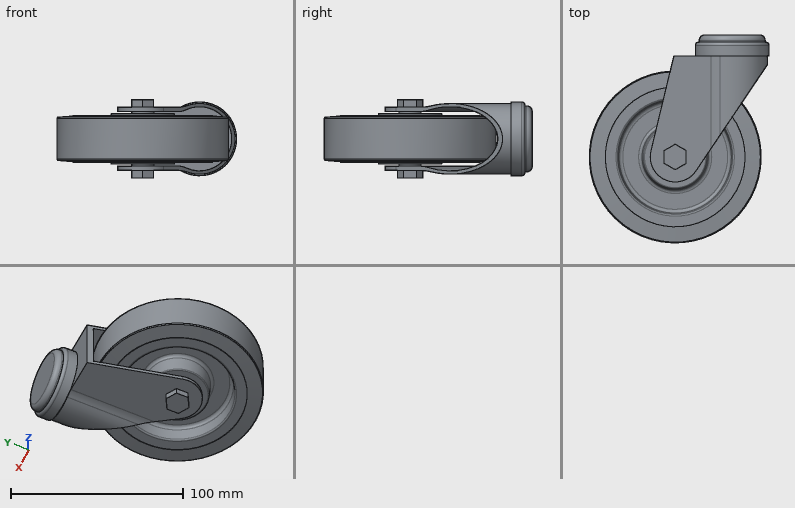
import cadquery as cq
import math


WHEEL_R = 50.0
TREAD_HALF = 11.9
TREAD_EDGE_R = 49.5
TREAD_EDGE_HALF = 12.6
RIM_R = 40.6
TYRE_FACE_HALF = 13.3
RIM_HALF = 13.7
POCKET_TOP_R = 33.5
POCKET_BOTTOM_R = 32.4
WEB_HALF = 2.9
HUB_BASE_R = 19.5
HUB_TOP_R = 18.4
HUB_HALF = 14.8
LIP_FILLET = 1.0
FLOOR_FILLET = 2.2
HUB_BASE_FILLET = 1.9
HUB_TOP_FILLET = 0.6

SPACER_R = 13.0 / 2
HEX_FLATS = 12.8
BOLT_HALF = 45.6 / 2

LEG_OUTER = 18.4
LEG_THICKNESS = 2.5
LEG_INNER = LEG_OUTER - LEG_THICKNESS
LEG_END_R = 14.5
FORK_TOP = 58.7
FORK_TOP_THICKNESS = 3.8
FORK_LEFT = -0.8
FORK_REAR_CORNER_Y = 53.7
SKIRT_OUTER_R = 20.6
SKIRT_INNER_R = 18.6
BLEND_START_X = 20.8

HEAD_R = 43.0 / 2
HEAD_X = 104.5 - WHEEL_R - HEAD_R
HEAD_TOP = 121 - WHEEL_R
HEAD_CAP_R = 19.2
HEAD_CAP_FILLET = 3.4
HEAD_SHOULDER = 66.8
HEAD_SHOULDER_FILLET = 1.9


def rounded_outline(workplane, corners):
    """Close an outline of (u, v, radius) corners; a radius of 0 leaves a corner sharp."""
    first = True
    for i, (u, v, radius) in enumerate(corners):
        corner = cq.Vector(u, v)
        before = (cq.Vector(*corners[i - 1][:2]) - corner).normalized()
        after = (cq.Vector(*corners[(i + 1) % len(corners)][:2]) - corner).normalized()
        half_angle = before.getAngle(after) / 2
        setback = radius / math.tan(half_angle)
        start = corner + before * setback
        workplane = workplane.moveTo(start.x, start.y) if first else workplane.lineTo(start.x, start.y)
        first = False
        if radius > 0:
            bisector = (before + after).normalized()
            middle = corner + bisector * (radius / math.sin(half_angle) - radius)
            end = corner + after * setback
            workplane = workplane.threePointArc((middle.x, middle.y), (end.x, end.y))
    return workplane.close()


def make_wheel():
    upper_half = [
        (WHEEL_R, TREAD_HALF, 0),
        (TREAD_EDGE_R, TREAD_EDGE_HALF, 0),
        (RIM_R, TYRE_FACE_HALF, 0),
        (RIM_R, RIM_HALF, 0),
        (POCKET_TOP_R, RIM_HALF, LIP_FILLET),
        (POCKET_BOTTOM_R, WEB_HALF, FLOOR_FILLET),
        (HUB_BASE_R, WEB_HALF, HUB_BASE_FILLET),
        (HUB_TOP_R, HUB_HALF, HUB_TOP_FILLET),
        (0, HUB_HALF, 0),
    ]
    lower_half = [(r, -z, fillet) for r, z, fillet in reversed(upper_half)]
    profile = rounded_outline(cq.Workplane("XZ"), upper_half + lower_half)
    return profile.revolve(360, (0, 0, 0), (0, 1, 0))


def make_axle():
    spacer = cq.Workplane("XY").circle(SPACER_R).extrude(LEG_OUTER, both=True)
    hex_across_corners = HEX_FLATS / math.cos(math.pi / 6)
    head = (
        cq.Workplane("XY", origin=(0, 0, LEG_OUTER))
        .polygon(6, hex_across_corners)
        .extrude(BOLT_HALF - LEG_OUTER)
        .rotate((0, 0, 0), (0, 0, 1), 30)
    )
    return spacer.union(head).union(head.mirror("XY"))


def u_section(left, half_width, skirt_r, top, bottom):
    """Two straight legs blended by concave arcs into a round skirt about the swivel axis."""
    run = HEAD_X - BLEND_START_X
    blend_r = (run**2 + half_width**2 - skirt_r**2) / (2 * (skirt_r - half_width))
    blend_z = half_width + blend_r
    share = skirt_r / (skirt_r + blend_r)
    tangent_x = HEAD_X - run * share
    tangent_z = blend_z * share
    blend_angle = math.asin((tangent_x - BLEND_START_X) / blend_r) / 2
    middle_x = BLEND_START_X + blend_r * math.sin(blend_angle)
    middle_z = blend_z - blend_r * math.cos(blend_angle)
    return (
        cq.Workplane("XZ", origin=(0, top, 0))
        .moveTo(left, -half_width)
        .lineTo(BLEND_START_X, -half_width)
        .threePointArc((middle_x, -middle_z), (tangent_x, -tangent_z))
        .threePointArc((HEAD_X + skirt_r, 0), (tangent_x, tangent_z))
        .threePointArc((middle_x, middle_z), (BLEND_START_X, half_width))
        .lineTo(left, half_width)
        .close()
        .extrude(top - bottom)
    )


def tangent_point(x, y, side):
    """Point where a line from (x, y) touches the round end of a leg; side is +1 or -1."""
    angle = math.atan2(y, x) + side * math.acos(LEG_END_R / math.hypot(x, y))
    return LEG_END_R * math.cos(angle), LEG_END_R * math.sin(angle)


def make_fork():
    rear = HEAD_X + SKIRT_OUTER_R
    outer = u_section(-LEG_END_R, LEG_OUTER, SKIRT_OUTER_R, FORK_TOP, -LEG_END_R)
    cavity_top = FORK_TOP - FORK_TOP_THICKNESS
    cavity = u_section(-LEG_END_R, LEG_INNER, SKIRT_INNER_R, cavity_top, -LEG_END_R)
    side_outline = (
        cq.Workplane("XY")
        .moveTo(FORK_LEFT, FORK_TOP)
        .lineTo(rear, FORK_TOP)
        .lineTo(rear, FORK_REAR_CORNER_Y)
        .lineTo(*tangent_point(rear, FORK_REAR_CORNER_Y, -1))
        .threePointArc((0, -LEG_END_R), tangent_point(FORK_LEFT, FORK_TOP, 1))
        .close()
        .extrude(SKIRT_OUTER_R, both=True)
    )
    return outer.cut(cavity).intersect(side_outline)


def make_head():
    half_profile = [
        (0, FORK_TOP, 0),
        (HEAD_R, FORK_TOP, 0),
        (HEAD_R, HEAD_SHOULDER, HEAD_SHOULDER_FILLET),
        (HEAD_CAP_R, HEAD_SHOULDER, 0),
        (HEAD_CAP_R, HEAD_TOP, HEAD_CAP_FILLET),
        (0, HEAD_TOP, 0),
    ]
    profile = rounded_outline(cq.Workplane("XY"), half_profile)
    return profile.revolve(360, (0, 0, 0), (0, 1, 0)).translate((HEAD_X, 0, 0))


result = make_wheel().union(make_axle()).union(make_fork()).union(make_head())